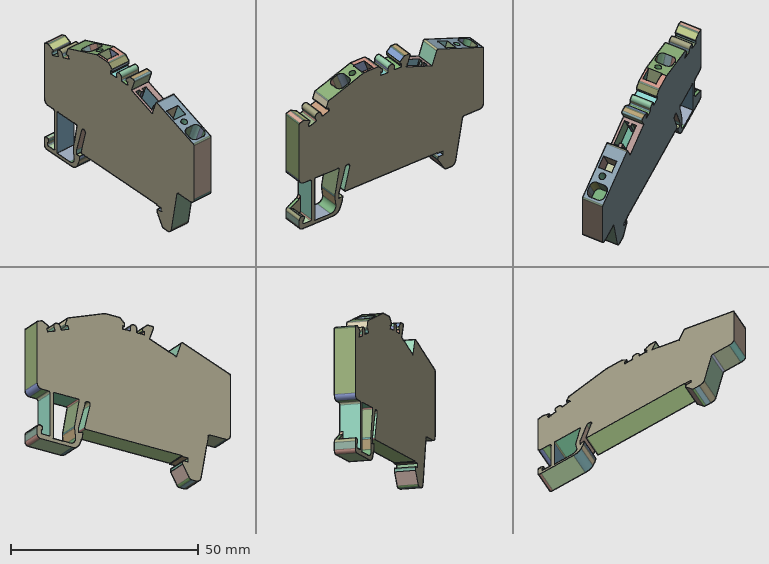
import cadquery as cq
import math

LENGTH = 61.5
WIDTH = 6.0
HEIGHT = 42.0

SLOPE = 20.0
BODY_BOTTOM = 14.65
RAIL_SEAT = 6.35
FOOT_LIP = 4.95
BODY_CORNER_R = 1.5
SMALL_R = 0.3
PEAK_R = 0.45

WALL_OUTSIDE = 4.1
WALL_INSIDE = 5.2
FOOT_FLOOR = 1.1
FOOT_POCKET_FLOOR = 1.5
WEB_THICKNESS = 1.05
WEB_TOP = 6.75
LATCH_TOP = 4.1
LATCH_WIDTH = 0.7
LATCH_R = 1.05
LATCH_INSIDE = 1.3
LATCH_SHOULDER_Z = 3.7
SPRING_INSIDE = 13.2
SLOT_END_R = 0.7

SLOT_LEFT_X = 15.5
SLOT_RIGHT_X = 17.05
SLOT_MOUTH_X = 15.0
HOOK_TIP = (14.55, 5.1)
HOOK_BELLY = (14.4, LATCH_SHOULDER_Z)
HOOK_BELLY_R = 2.0
FOOT_END_X = 13.0
FOOT_END_R = 2.6
LATCH_CREST_X = 1.75
LATCH_WAIST = (1.65, 2.85)
LATCH_UNDERCUT_Z = 2.45
WEB_KNEE = (3.65, 5.85)
WINDOW_TOP_X = 13.4
WINDOW_KNEE = (11.85, 6.1)
WINDOW_KNEE_R = 1.5
WINDOW_BOTTOM_X = 12.5
WINDOW_BOTTOM_R = 1.8

NOSE_X = 46.3
NOSE_BOTTOM = 3.9
RAIL_STOP_X = 48.0
RAIL_STEP_X = 46.05
RAIL_STEP_TOP = 6.1
FOOT_INNER_BOTTOM_X = 48.6
FOOT_OUTER_BOTTOM_X = 51.95
FOOT_OUTER_TOP_X = 54.55
FOOT_INNER_R = 0.9
FOOT_OUTER_R = 1.6
FOOT_ROOT_R = 0.6

POST_HALF_WIDTH = 1.03
POST_HEIGHT = 2.12
UPPER_SLOT_X = 30.68
UPPER_SLOT_FLOOR = 38.85
UPPER_SLOT_HALF = 3.43
UPPER_LIP_HALF = 2.85
UPPER_LIP_BOTTOM = 39.8
UPPER_LIP_TOP = 40.6
UPPER_CHAMFER_HALF = 4.35
LOWER_SLOT_X = 6.73
LOWER_SLOT_Z = 33.23
LOWER_SLOT_HALF = 3.58
LEFT_END_Z = 34.28
LOWER_LIP_PEAK = (1.55, 34.83)
LOWER_LIP_TIP = (3.85, 33.68)
LOWER_LIP_UNDERCUT = (3.05, 32.85)
SHOULDER_LIP_UNDERCUT = (9.78, 35.4)
SHOULDER_LIP_TIP = (8.8, 35.2)

LEFT_SHOULDER_TOP_X = 21.55
LEFT_SHOULDER_FOOT_X = 9.7
FIN_END_X = 37.2
LEDGE_START_X = 35.8
LEDGE_START_Z = 38.1
LEDGE_END_X = 44.3
RIGHT_PEAK_X = 45.95
RIGHT_END_Z = 34.05

ENTRY_LENGTH_LEFT = 4.57
ENTRY_LENGTH_RIGHT = 4.35
ENTRY_WIDTH = 5.0
ENTRY_CORNER_R = 1.47
LEFT_ENTRY_X = 15.95
RIGHT_ENTRY_X = 58.45
TEST_HOLE_DIAMETER = 1.8
LEFT_TEST_X = 19.62
RIGHT_TEST_X = 54.45
RELEASE_WIDTH = 3.9
LEFT_RELEASE_X = (21.4, 24.62)
RIGHT_RELEASE_X = (49.55, 52.7)
OPENING_Y = 2.58
LEFT_DEPTH = 9.1
RIGHT_DEPTH = 7.7

LEDGE_POCKET_X = (36.75, 43.2)
LEDGE_POCKET_Y = (0.75, 4.25)
LEDGE_POCKET_DEPTH = 6.9
RIB_WIDTH = 0.95
RIB_LENGTH = 0.8

COS = math.cos(math.radians(SLOPE))
SIN = math.sin(math.radians(SLOPE))
TAN = SIN / COS
MIN_EDGE = 1e-4


def rounded_outline(corners):
    """Closed XZ outline from (x, z, radius) corners; a radius of 0 leaves the corner sharp."""
    pieces = []
    for i, (x, z, radius) in enumerate(corners):
        here = cq.Vector(x, 0, z)
        if radius == 0:
            pieces.append((here, here, here))
            continue
        before = corners[i - 1]
        after = corners[(i + 1) % len(corners)]
        to_before = (cq.Vector(before[0], 0, before[1]) - here).normalized()
        to_after = (cq.Vector(after[0], 0, after[1]) - here).normalized()
        half_angle = to_before.getAngle(to_after) / 2
        setback = radius / math.tan(half_angle)
        bisector = (to_before + to_after).normalized()
        middle = here + bisector * (radius / math.sin(half_angle) - radius)
        pieces.append((here + to_before * setback, middle, here + to_after * setback))

    edges = []
    for i, (start, middle, end) in enumerate(pieces):
        previous_end = pieces[i - 1][2]
        if (start - previous_end).Length > MIN_EDGE:
            edges.append(cq.Edge.makeLine(previous_end, start))
        if (end - start).Length > MIN_EDGE:
            edges.append(cq.Edge.makeThreePointArc(start, middle, end))
    return cq.Wire.assembleEdges(edges)


def plate(corners, y_start, y_end):
    """Plate with the given rounded XZ outline, spanning y_start to y_end."""
    face = cq.Face.makeFromWires(rounded_outline(corners))
    solid = cq.Solid.extrudeLinear(face, cq.Vector(0, y_end - y_start, 0))
    return cq.Workplane(obj=solid.translate(cq.Vector(0, y_start, 0)))


def post_corners(x, z, angle):
    """Round-topped post standing at (x, z) on a floor tilted by angle degrees."""
    c = math.cos(math.radians(angle))
    s = math.sin(math.radians(angle))
    local = [
        (-POST_HALF_WIDTH, 0, SMALL_R),
        (-POST_HALF_WIDTH, POST_HEIGHT, POST_HALF_WIDTH),
        (POST_HALF_WIDTH, POST_HEIGHT, POST_HALF_WIDTH),
        (POST_HALF_WIDTH, 0, SMALL_R),
    ]
    return [(x + u * c - v * s, z + u * s + v * c, radius) for u, v, radius in local]


def left_shoulder_z(x):
    return HEIGHT - (LEFT_SHOULDER_TOP_X - x) * TAN


def right_shoulder_z(x):
    return RIGHT_END_Z + (LENGTH - x) * TAN


def ledge_z(x):
    return LEDGE_START_Z - (x - LEDGE_START_X) * TAN


def shoulder_plane(x, y, z, direction):
    """Plane on a tilted shoulder; direction is +1 where it climbs along X and -1 where it falls."""
    return cq.Workplane(cq.Plane((x, y, z), (COS, 0, direction * SIN), (-direction * SIN, 0, COS)))


def housing():
    """Full-width body with its bridge slots, shoulders, fixed foot and solid spring foot."""
    lower_dx = LOWER_SLOT_HALF * COS
    lower_dz = LOWER_SLOT_HALF * SIN
    lower_slot = [
        (0, LEFT_END_Z, SMALL_R),
        (*LOWER_LIP_PEAK, PEAK_R),
        (*LOWER_LIP_TIP, SMALL_R),
        (*LOWER_LIP_UNDERCUT, SMALL_R),
        (LOWER_SLOT_X - lower_dx, LOWER_SLOT_Z - lower_dz, 0),
        *post_corners(LOWER_SLOT_X, LOWER_SLOT_Z, SLOPE),
        (LOWER_SLOT_X + lower_dx, LOWER_SLOT_Z + lower_dz, 0),
        (*SHOULDER_LIP_UNDERCUT, SMALL_R),
        (*SHOULDER_LIP_TIP, SMALL_R),
        (LEFT_SHOULDER_FOOT_X, left_shoulder_z(LEFT_SHOULDER_FOOT_X), SMALL_R),
        (LEFT_SHOULDER_TOP_X, HEIGHT, 0),
    ]
    upper_slot = [
        (UPPER_SLOT_X - UPPER_CHAMFER_HALF, HEIGHT, PEAK_R),
        (UPPER_SLOT_X - UPPER_LIP_HALF, UPPER_LIP_TOP, 0),
        (UPPER_SLOT_X - UPPER_LIP_HALF, UPPER_LIP_BOTTOM, 0),
        (UPPER_SLOT_X - UPPER_SLOT_HALF, UPPER_LIP_BOTTOM, 0),
        (UPPER_SLOT_X - UPPER_SLOT_HALF, UPPER_SLOT_FLOOR, 0),
        *post_corners(UPPER_SLOT_X, UPPER_SLOT_FLOOR, 0),
        (UPPER_SLOT_X + UPPER_SLOT_HALF, UPPER_SLOT_FLOOR, 0),
        (UPPER_SLOT_X + UPPER_SLOT_HALF, UPPER_LIP_BOTTOM, 0),
        (UPPER_SLOT_X + UPPER_LIP_HALF, UPPER_LIP_BOTTOM, 0),
        (UPPER_SLOT_X + UPPER_LIP_HALF, UPPER_LIP_TOP, 0),
        (UPPER_SLOT_X + UPPER_CHAMFER_HALF, HEIGHT, PEAK_R),
    ]
    right_side = [
        (FIN_END_X, HEIGHT, PEAK_R),
        (LEDGE_START_X, LEDGE_START_Z, 0),
        (LEDGE_END_X, ledge_z(LEDGE_END_X), 0),
        (RIGHT_PEAK_X, right_shoulder_z(RIGHT_PEAK_X), PEAK_R),
        (LENGTH, RIGHT_END_Z, PEAK_R),
        (LENGTH, BODY_BOTTOM, BODY_CORNER_R),
        (FOOT_OUTER_TOP_X, BODY_BOTTOM, FOOT_ROOT_R),
        (FOOT_OUTER_BOTTOM_X, 0, FOOT_OUTER_R),
        (FOOT_INNER_BOTTOM_X, 0, FOOT_INNER_R),
        (NOSE_X, NOSE_BOTTOM, 0),
        (NOSE_X, FOOT_LIP, SMALL_R),
        (RAIL_STOP_X, FOOT_LIP, 0),
        (RAIL_STOP_X, RAIL_STEP_TOP, 0),
        (RAIL_STEP_X, RAIL_STEP_TOP, 0),
        (RAIL_STEP_X, RAIL_SEAT, 0),
    ]
    spring_foot = [
        (SLOT_MOUTH_X, RAIL_SEAT, SMALL_R),
        (SLOT_RIGHT_X, BODY_BOTTOM, SLOT_END_R),
        (SLOT_LEFT_X, BODY_BOTTOM, SLOT_END_R),
        (SPRING_INSIDE, RAIL_SEAT, 0),
        (SPRING_INSIDE, FOOT_LIP, 0),
        (*HOOK_TIP, 0),
        (*HOOK_BELLY, HOOK_BELLY_R),
        (FOOT_END_X, 0, FOOT_END_R),
        (0, 0, LATCH_R),
        (0, LATCH_SHOULDER_Z, LATCH_R),
        (LATCH_WIDTH, LATCH_TOP, 0),
        (LATCH_CREST_X, LATCH_SHOULDER_Z, SMALL_R),
        (*LATCH_WAIST, SMALL_R),
        (LATCH_INSIDE, LATCH_UNDERCUT_Z, SMALL_R),
        (LATCH_INSIDE, FOOT_POCKET_FLOOR, SMALL_R),
        (WALL_OUTSIDE, FOOT_POCKET_FLOOR, SMALL_R),
        (WALL_OUTSIDE, BODY_BOTTOM, FOOT_ROOT_R),
        (0, BODY_BOTTOM, BODY_CORNER_R),
    ]
    return plate(lower_slot + upper_slot + right_side + spring_foot, 0, WIDTH)


def foot_window():
    """Opening that leaves the spring foot as a thin frame."""
    corners = [
        (WALL_INSIDE, FOOT_FLOOR, 0),
        (WALL_INSIDE, BODY_BOTTOM, SMALL_R),
        (WINDOW_TOP_X, BODY_BOTTOM, SMALL_R),
        (*WINDOW_KNEE, WINDOW_KNEE_R),
        (WINDOW_BOTTOM_X, FOOT_FLOOR, WINDOW_BOTTOM_R),
    ]
    return plate(corners, 0, WIDTH)


def foot_web():
    """Gusset between the latch and the foot wall, at the +Y side only."""
    corners = [
        (LATCH_WIDTH, LATCH_TOP, 0),
        (*WEB_KNEE, 0),
        (WALL_OUTSIDE, WEB_TOP, 0),
        (WALL_OUTSIDE, FOOT_FLOOR, 0),
        (LATCH_WIDTH, FOOT_FLOOR, 0),
    ]
    return plate(corners, WIDTH - WEB_THICKNESS, WIDTH)


def wire_entry(x, z, direction, length, depth):
    """Round-cornered shaft for the conductor, square to its shoulder."""
    block = shoulder_plane(x, WIDTH / 2, z, direction).rect(length, ENTRY_WIDTH).extrude(-depth)
    long_edges = cq.selectors.ParallelDirSelector(cq.Vector(-direction * SIN, 0, COS))
    return block.edges(long_edges).fillet(ENTRY_CORNER_R)


def test_hole(x, z, direction, depth):
    """Round probe hole, square to its shoulder."""
    return shoulder_plane(x, OPENING_Y, z, direction).circle(TEST_HOLE_DIAMETER / 2).extrude(-depth)


def release_pocket(x_range, surface_z, direction, depth):
    """Rectangular screwdriver pocket, square to its shoulder."""
    middle = sum(x_range) / 2
    length = (x_range[1] - x_range[0]) / COS
    plane = shoulder_plane(middle, OPENING_Y, surface_z(middle), direction)
    return plane.rect(length, RELEASE_WIDTH).extrude(-depth)


def ledge_pocket():
    """Pocket in the sunken ledge, with a guide rib left standing at each end."""
    middle_x = sum(LEDGE_POCKET_X) / 2
    middle_y = sum(LEDGE_POCKET_Y) / 2
    length = (LEDGE_POCKET_X[1] - LEDGE_POCKET_X[0]) / COS
    pocket_width = LEDGE_POCKET_Y[1] - LEDGE_POCKET_Y[0]
    plane = shoulder_plane(middle_x, middle_y, ledge_z(middle_x), -1)
    pocket = plane.rect(length, pocket_width).extrude(-LEDGE_POCKET_DEPTH)
    rib_centre = (length - RIB_LENGTH) / 2
    ribs = (
        plane.pushPoints([(-rib_centre, 0), (rib_centre, 0)])
        .rect(RIB_LENGTH, RIB_WIDTH)
        .extrude(-LEDGE_POCKET_DEPTH)
    )
    return pocket.cut(ribs)


result = housing().cut(foot_window()).union(foot_web())
openings = [
    wire_entry(LEFT_ENTRY_X, left_shoulder_z(LEFT_ENTRY_X), 1, ENTRY_LENGTH_LEFT, LEFT_DEPTH),
    wire_entry(RIGHT_ENTRY_X, right_shoulder_z(RIGHT_ENTRY_X), -1, ENTRY_LENGTH_RIGHT, RIGHT_DEPTH),
    test_hole(LEFT_TEST_X, left_shoulder_z(LEFT_TEST_X), 1, LEFT_DEPTH),
    test_hole(RIGHT_TEST_X, right_shoulder_z(RIGHT_TEST_X), -1, RIGHT_DEPTH),
    release_pocket(LEFT_RELEASE_X, left_shoulder_z, 1, LEFT_DEPTH),
    release_pocket(RIGHT_RELEASE_X, right_shoulder_z, -1, RIGHT_DEPTH),
    ledge_pocket(),
]
for opening in openings:
    result = result.cut(opening)